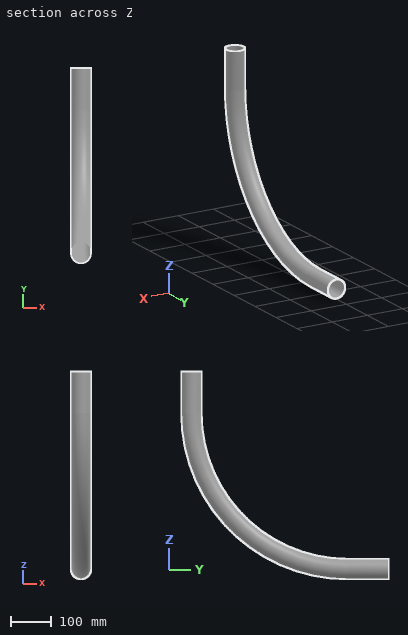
import cadquery as cq

outer_diameter = 51.0
inner_diameter = 48.0
overall_length = 508.0
leg_length = 101.5
bend_radius = overall_length - leg_length - outer_diameter / 2
bend_angle = 90


def tube_section(workplane):
    """Draw the ring-shaped wall section, centred on the workplane origin."""
    return workplane.circle(outer_diameter / 2).circle(inner_diameter / 2)


upright_leg = tube_section(cq.Workplane("XY")).extrude(leg_length)

bend = tube_section(cq.Workplane("XY")).revolve(
    bend_angle, (0, bend_radius, 0), (1, bend_radius, 0)
)

level_leg_start = cq.Plane(
    origin=(0, bend_radius, -bend_radius), xDir=(1, 0, 0), normal=(0, 1, 0)
)
level_leg = tube_section(cq.Workplane(level_leg_start)).extrude(leg_length)

result = upright_leg.union(bend).union(level_leg)